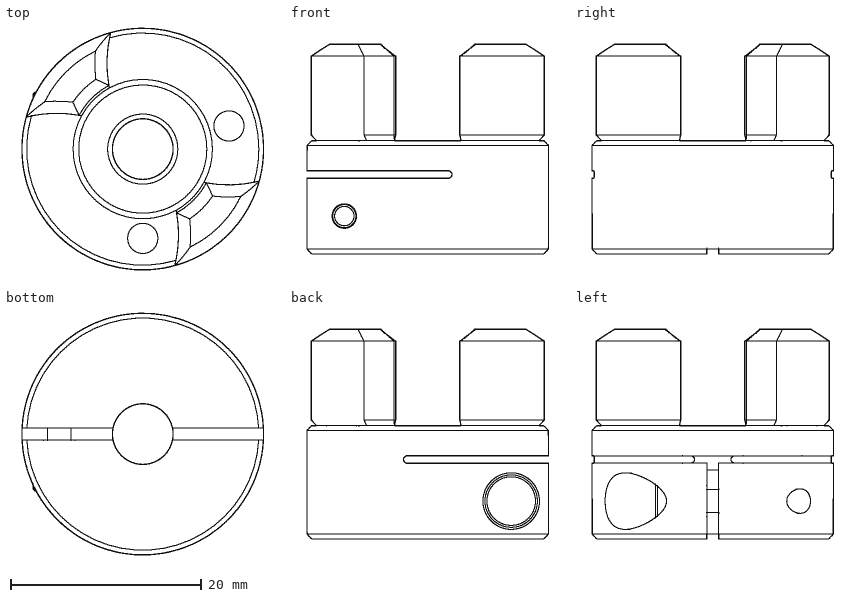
import cadquery as cq
import math

hub_radius = 12.7
hub_height = 11.9
edge_chamfer = 0.5
bore_diameter = 6.35
bore_chamfer = 0.5
recess_top_radius = 7.32
recess_floor_radius = 6.73
recess_depth = 0.28

total_height = 22.05
jaw_inner_radius = 7.57
jaw_top_chamfer = 1.27
jaw_root_height = 0.58
flank_radius = 13.2
flank_center_x = 9.45
flank_center_y = 9.02

blind_diameter = 3.18
blind_depth = 2.15
blind_circle_radius = 9.37
blind_angles = (-90, 15)
drill_half_angle = 59

cross_slot_bottom = 7.98
cross_slot_width = 0.75
cross_slot_end_x = 2.55
split_width = 1.25
relief_top = 7.26
relief_radius = 16.5

screw_x = -8.76
screw_z = 4.0
counterbore_diameter = 5.95
counterbore_floor_y = 3.5
clearance_diameter = 3.28
tapped_diameter = 2.57
shank_diameter = 2.45
tip_y = -7.21
tip_chamfer = 0.2
head_diameter = 5.5
head_top_y = 6.0
head_chamfer = 0.2


def revolve_section(points):
    """Revolve a closed (radius, z) outline about the Z axis."""
    return cq.Workplane("XZ").polyline(points).close().revolve(360, (0, 0), (0, 1))


def cylinder_along_y(diameter, start_y, end_y):
    """Cylinder on the screw axis between two Y positions."""
    plane = cq.Plane(origin=(screw_x, start_y, screw_z), xDir=(1, 0, 0), normal=(0, 1, 0))
    return cq.Workplane(plane).circle(diameter / 2).extrude(end_y - start_y)


def make_hub():
    bore_radius = bore_diameter / 2
    recess_floor = hub_height - recess_depth
    return revolve_section([
        (bore_radius, 0),
        (hub_radius - edge_chamfer, 0),
        (hub_radius, edge_chamfer),
        (hub_radius, hub_height - edge_chamfer),
        (hub_radius - edge_chamfer, hub_height),
        (recess_top_radius, hub_height),
        (recess_floor_radius, recess_floor),
        (bore_radius + bore_chamfer, recess_floor),
        (bore_radius, recess_floor - bore_chamfer),
    ])


def jaw_prism(inner_radius, bottom, top):
    """Part of a ring in the -X +Y quadrant, between two concave flanks."""
    height = top - bottom
    base = cq.Workplane("XY").workplane(offset=bottom)
    ring = base.circle(hub_radius).circle(inner_radius).extrude(height)
    quadrant = base.center(-hub_radius / 2, hub_radius / 2).rect(hub_radius, hub_radius).extrude(height)
    prism = ring.intersect(quadrant)
    for x, y in ((flank_center_x, flank_center_y), (-flank_center_y, -flank_center_x)):
        prism = prism.cut(base.center(x, y).circle(flank_radius).extrude(height))
    return prism


def make_jaw():
    root_top = hub_height + jaw_root_height
    root_outer_radius = hub_radius - edge_chamfer
    upper = jaw_prism(jaw_inner_radius, root_top, total_height).faces(">Z").chamfer(jaw_top_chamfer)
    root_taper = revolve_section([
        (recess_top_radius, hub_height),
        (root_outer_radius, hub_height),
        (hub_radius, root_top),
        (jaw_inner_radius, root_top),
    ])
    root = jaw_prism(recess_top_radius, hub_height, root_top).intersect(root_taper)
    return upper.union(root)


def make_blind_hole():
    radius = blind_diameter / 2
    cone_height = radius / math.tan(math.radians(drill_half_angle))
    wall_end = hub_height - blind_depth
    return revolve_section([
        (0, hub_height),
        (radius, hub_height),
        (radius, wall_end),
        (0, wall_end - cone_height),
    ])


def make_cross_slot():
    """Horizontal saw cut from the -X side with a rounded end."""
    half_width = cross_slot_width / 2
    top = cross_slot_bottom + cross_slot_width
    round_start = cross_slot_end_x - half_width
    return (
        cq.Workplane("XZ")
        .moveTo(-hub_radius, cross_slot_bottom)
        .lineTo(round_start, cross_slot_bottom)
        .threePointArc((cross_slot_end_x, cross_slot_bottom + half_width), (round_start, top))
        .lineTo(-hub_radius, top)
        .close()
        .extrude(hub_radius, both=True)
    )


def make_split():
    """Vertical cut through the -X wall, and an arched relief in the +X wall."""
    half_width = split_width / 2
    clamp_gap = cq.Workplane("XY").box(
        hub_radius, split_width, cross_slot_bottom + cross_slot_width / 2, centered=(False, True, False)
    ).translate((-hub_radius, 0, 0))
    relief = (
        cq.Workplane("XZ")
        .polyline([(0, relief_top), (0, 0), (hub_radius, 0), (hub_radius, edge_chamfer)])
        .radiusArc((bore_diameter / 2, relief_top), -relief_radius)
        .close()
        .extrude(half_width, both=True)
    )
    return clamp_gap.union(relief)


def make_screw():
    shank = cylinder_along_y(shank_diameter, tip_y, counterbore_floor_y).faces("<Y").chamfer(tip_chamfer)
    head = cylinder_along_y(head_diameter, counterbore_floor_y, head_top_y).faces(">Y").chamfer(head_chamfer)
    return head.union(shank)


hub = make_hub()

jaw = make_jaw()
for jaw_angle in (0, 180):
    hub = hub.union(jaw.rotate((0, 0, 0), (0, 0, 1), jaw_angle))

blind_hole = make_blind_hole().translate((blind_circle_radius, 0, 0))
for hole_angle in blind_angles:
    hub = hub.cut(blind_hole.rotate((0, 0, 0), (0, 0, 1), hole_angle))

hub = hub.cut(make_cross_slot()).cut(make_split())

hub = hub.cut(cylinder_along_y(tapped_diameter, -hub_radius, 0))
hub = hub.cut(cylinder_along_y(clearance_diameter, 0, counterbore_floor_y))
hub = hub.cut(cylinder_along_y(counterbore_diameter, counterbore_floor_y, hub_radius))

result = hub.union(make_screw())